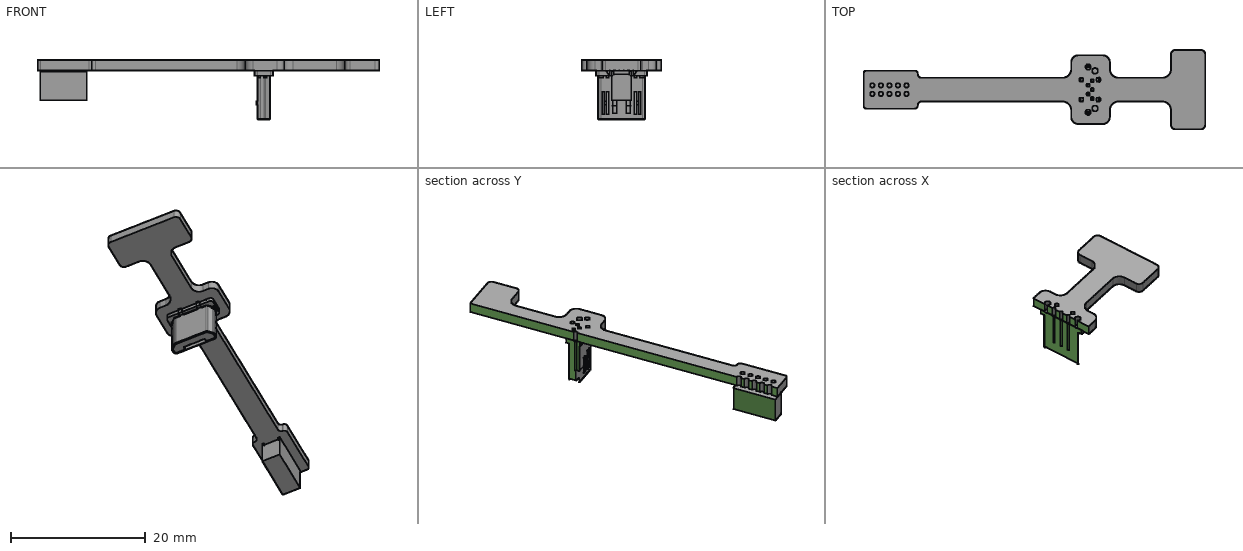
import cadquery as cq
import math


board_length = 50.7
board_width = 11.8
board_thickness = 1.6
board_left = -board_length / 2
board_right = board_length / 2
arm_half_width = 1.8

header_pad_right = -17.3
header_pad_half_width = 2.85
header_pad_outer_radius = 0.4
header_pad_neck_radius = 0.5

plug_pad_left = 5.45
plug_pad_right = 11.2
plug_pad_half_width = 5.1
plug_pad_corner_radius = 1.1
plug_pad_neck_radius = 1.25

grip_left = 20.25
grip_half_width = board_width / 2
grip_corner_radius = 0.7
grip_neck_radius = 1.25

header_left = -25.0
header_length = 6.95
header_center_x = header_left + header_length / 2
header_width = 2.9
header_height = 4.3
header_gap = 0.1
header_channel_width = 2.35
header_channel_depth = 0.45

header_pitch = 1.25
header_columns = 5
header_rows = 2
header_hole_diameter = 0.65

contact_hole_diameter = 0.5
contact_pitch = 0.65
near_row_x = 7.95
far_row_x = 8.55
solder_hole_diameter = 0.6
solder_hole_xs = (6.95, 9.5)
solder_hole_y = 1.45
shell_hole_diameter = 0.75
shell_hole_x = 7.95
shell_hole_y = 3.35
locating_hole_diameter = 0.85
locating_hole_x = 9.0
locating_hole_y = 2.8

shell_left = 7.25
shell_right = 9.15
shell_half_width = 3.5
total_height = 8.85
shell_bottom = board_thickness - total_height
shell_wall = 0.15
shell_corner_radius = 0.45
shell_taper_x = 8.3
shell_taper_radius = 0.3
shell_end_chamfer = 0.1

flange_left = 6.8
flange_right = 9.6
flange_half_width = 3.8
flange_thickness = 0.75
flange_corner_radius = 0.45
shell_top = -flange_thickness
flange_notch_top_half_width = 2.3
flange_notch_bottom_half_width = 1.8

latch_slot_width = 0.3
latch_slot_ys = (2.1, 2.7)
latch_slot_top = -3.15
latch_slot_bottom = -6.45
key_slot_width = 0.6
key_slot_y = 1.0
key_slot_top = -3.6
key_slot_bottom = -6.35
nub_top = -4.5
nub_bottom = -5.05
nub_height = 0.15
window_height = 0.25
face_window_y = 2.1
face_window_width = 0.4
corner_window_inner_y = 2.75
corner_window_right = 7.7
side_window_left = 8.15
side_window_right = 8.6

tab_left = 7.45
tab_right = 8.45
tab_thickness = 0.2
foot_inner_y = 1.15
foot_outer_y = flange_notch_bottom_half_width

socket_half_width = 1.7
socket_top = -5.2
socket_depth = 0.45
core_inset = 0.15
core_bottom = shell_bottom + core_inset

contact_count = 5
contact_side = 0.25
contact_bottom = socket_top


def rounded_outline(corners):
    """Closed outline through (x, y, radius) corners, each rounded by a tangent arc."""
    count = len(corners)
    arcs = []
    for i in range(count):
        x, y, radius = corners[i]
        corner = cq.Vector(x, y)
        to_last = (cq.Vector(*corners[i - 1][:2]) - corner).normalized()
        to_next = (cq.Vector(*corners[(i + 1) % count][:2]) - corner).normalized()
        half_angle = to_last.getAngle(to_next) / 2
        tangent = radius / math.tan(half_angle)
        bisector = (to_last + to_next).normalized()
        middle = corner + bisector * (radius / math.sin(half_angle) - radius)
        arcs.append((corner + to_last * tangent, middle, corner + to_next * tangent))
    last_end = arcs[-1][2]
    outline = cq.Workplane("XY").moveTo(last_end.x, last_end.y)
    for start, middle, end in arcs:
        outline = outline.lineTo(start.x, start.y)
        outline = outline.threePointArc((middle.x, middle.y), (end.x, end.y))
    return outline.close()


def mirrored(corners):
    """The corners followed by their mirror images across the X axis."""
    return corners + [(x, -y, radius) for x, y, radius in reversed(corners)]


def box(x_range, y_range, z_range):
    """Box between the given coordinates."""
    (x0, x1), (y0, y1), (z0, z1) = x_range, y_range, z_range
    return cq.Workplane("XY").box(x1 - x0, y1 - y0, z1 - z0, centered=False).translate((x0, y0, z0))


def box_pair(x_range, y_range, z_range):
    """Box between the given coordinates together with its mirror image across the XZ plane."""
    block = box(x_range, y_range, z_range)
    return block.union(block.mirror("XZ"))


def shell_prism(inset, top, bottom):
    """Plug profile moved inwards by inset, between two levels."""
    right = shell_right - inset
    half_width = shell_half_width - inset
    taper_x = shell_taper_x - inset * (math.sqrt(2) - 1)
    corners = [
        (shell_left + inset, half_width, shell_corner_radius - inset),
        (taper_x, half_width, shell_taper_radius),
        (right, half_width - (right - taper_x), shell_taper_radius),
    ]
    prism = rounded_outline(mirrored(corners)).extrude(top - bottom)
    return prism.translate((0, 0, bottom))


def contact_points():
    """Contact centres, one pitch apart along Y and alternating between two rows."""
    middle = contact_count // 2
    return [
        (far_row_x if i % 2 == 0 else near_row_x, i * contact_pitch)
        for i in range(-middle, middle + 1)
    ]


def make_board():
    """Flat board with three widened pads, drilled for the header and the plug."""
    corners = [
        (board_left, header_pad_half_width, header_pad_outer_radius),
        (header_pad_right, header_pad_half_width, header_pad_neck_radius),
        (header_pad_right, arm_half_width, header_pad_neck_radius),
        (plug_pad_left, arm_half_width, plug_pad_neck_radius),
        (plug_pad_left, plug_pad_half_width, plug_pad_corner_radius),
        (plug_pad_right, plug_pad_half_width, plug_pad_corner_radius),
        (plug_pad_right, arm_half_width, plug_pad_neck_radius),
        (grip_left, arm_half_width, grip_neck_radius),
        (grip_left, grip_half_width, grip_corner_radius),
        (board_right, grip_half_width, grip_corner_radius),
    ]
    board = rounded_outline(mirrored(corners)).extrude(board_thickness)

    header_holes = (
        cq.Workplane("XY")
        .center(header_center_x, 0)
        .rarray(header_pitch, header_pitch, header_columns, header_rows)
        .circle(header_hole_diameter / 2)
        .extrude(board_thickness)
    )
    side_signs = (-1, 1)
    hole_groups = [
        (contact_hole_diameter, contact_points()),
        (solder_hole_diameter, [(x, s * solder_hole_y) for x in solder_hole_xs for s in side_signs]),
        (shell_hole_diameter, [(shell_hole_x, s * shell_hole_y) for s in side_signs]),
        (locating_hole_diameter, [(locating_hole_x, s * locating_hole_y) for s in side_signs]),
    ]
    board = board.cut(header_holes)
    for diameter, points in hole_groups:
        board = board.cut(
            cq.Workplane("XY").pushPoints(points).circle(diameter / 2).extrude(board_thickness)
        )
    return board


def make_header():
    """Socket strip just below the board, with a channel along its top."""
    top = -header_gap
    x_range = (header_left, header_left + header_length)
    half_width = header_width / 2
    body = box(x_range, (-half_width, half_width), (top - header_height, top))
    half_channel = header_channel_width / 2
    return body.cut(box(x_range, (-half_channel, half_channel), (top - header_channel_depth, top)))


def shell_tabs():
    """Two solder tabs and four feet that reach from the shell up to the board."""
    z_range = (shell_top, 0)
    tabs = box_pair(
        (tab_left, tab_right), (shell_half_width - tab_thickness, shell_half_width), z_range
    )
    foot_range = (foot_inner_y, foot_outer_y)
    left_feet = box_pair((flange_left, shell_left + shell_wall), foot_range, z_range)
    right_feet = box_pair((shell_right - shell_wall, flange_right), foot_range, z_range)
    return tabs.union(left_feet).union(right_feet)


def make_shell():
    """Thin sheet sleeve with latch slots, key slots, windows, solder tabs and feet."""
    outer = shell_prism(0, shell_top, shell_bottom)
    outer = outer.faces("<Z").edges().chamfer(shell_end_chamfer)
    hollow = shell_prism(shell_wall, shell_top, shell_bottom)
    shell = outer.cut(hollow)

    face_range = (shell_left, shell_left + shell_wall)
    for y in latch_slot_ys:
        y_range = (y - latch_slot_width / 2, y + latch_slot_width / 2)
        shell = shell.cut(box_pair(face_range, y_range, (latch_slot_bottom, latch_slot_top)))
    key_range = (key_slot_y - key_slot_width / 2, key_slot_y + key_slot_width / 2)
    shell = shell.cut(box_pair(face_range, key_range, (key_slot_bottom, key_slot_top)))

    window_range = (shell_top - window_height, shell_top)
    side_window_inner_y = shell_half_width - 2 * shell_wall
    windows = [
        (face_range, (face_window_y - face_window_width / 2, face_window_y + face_window_width / 2)),
        ((shell_left, corner_window_right), (corner_window_inner_y, shell_half_width)),
        ((side_window_left, side_window_right), (side_window_inner_y, shell_half_width)),
    ]
    for x_range, y_range in windows:
        shell = shell.cut(box_pair(x_range, y_range, window_range))

    tongue_range = (latch_slot_ys[0] + latch_slot_width / 2, latch_slot_ys[1] - latch_slot_width / 2)
    nubs = box_pair((shell_left - nub_height, shell_left), tongue_range, (nub_bottom, nub_top))
    return shell.union(nubs).union(shell_tabs())


def make_contacts():
    """Straight square pins from the board down to the top of the mating socket."""
    length = -contact_bottom
    pin = cq.Workplane("XY").box(contact_side, contact_side, length, centered=(True, True, False))
    return [pin.translate((x, y, contact_bottom)) for x, y in contact_points()]


def make_insulator(contacts):
    """Flange above the shell and a core that fills it, with the mating socket at its end."""
    flange_corners = [
        (flange_left, flange_half_width, flange_corner_radius),
        (flange_right, flange_half_width, flange_corner_radius),
    ]
    flange = rounded_outline(mirrored(flange_corners)).extrude(-flange_thickness)

    notch = (
        cq.Workplane("YZ", origin=(flange_left, 0, 0))
        .polyline(
            [
                (-flange_notch_top_half_width, 0),
                (flange_notch_top_half_width, 0),
                (flange_notch_bottom_half_width, shell_top),
                (-flange_notch_bottom_half_width, shell_top),
            ]
        )
        .close()
        .extrude(shell_left - flange_left)
    )

    core = shell_prism(shell_wall, shell_top, core_bottom)
    socket = box(
        (shell_left, shell_left + shell_wall + socket_depth),
        (-socket_half_width, socket_half_width),
        (core_bottom, socket_top),
    )
    insulator = flange.cut(notch).union(core.cut(socket)).cut(shell_tabs())
    for contact in contacts:
        insulator = insulator.cut(contact)
    return insulator


board = make_board()
header = make_header()
shell = make_shell()
contacts = make_contacts()
insulator = make_insulator(contacts)

bodies = [board, header, shell, insulator, *contacts]
result = cq.Compound.makeCompound([body.solids().val() for body in bodies])